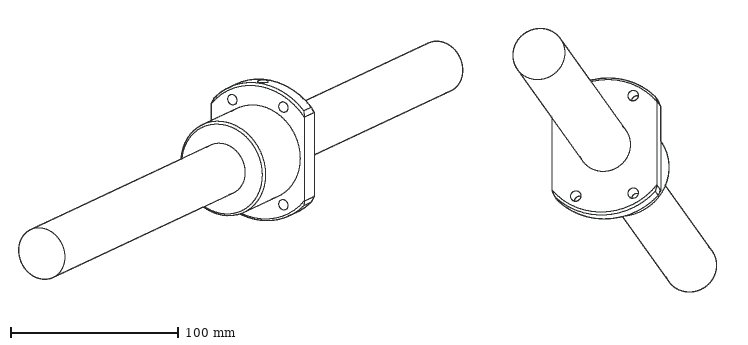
import cadquery as cq
import math

shaft_length = 489.0
shaft_diameter = 32.0

nut_diameter = 58.0
nut_length = 56.0
nut_end_chamfer = 1.5
flange_back_y = 33.3
flange_thickness = 12.0
flange_diameter = 85.0
flange_width = 64.0
flange_chamfer = 1.5
flange_corner_chamfer = 2.0

bolt_circle_diameter = 70.0
bolt_hole_diameter = 6.5
bolt_angles = (60, 120, 240, 300)

oil_port_diameter = 6.5
oil_port_depth = 8.0
oil_passage_diameter = 2.0

flange_front_y = flange_back_y - flange_thickness
flange_middle_y = flange_back_y - flange_thickness / 2
nut_front_y = flange_back_y - nut_length


def cylinder_y(diameter, start_y, end_y):
    """Cylinder around the Y axis between two Y positions."""
    plane = cq.Workplane("XZ", origin=(0, end_y, 0))
    return plane.circle(diameter / 2).extrude(end_y - start_y)


def cylinder_down(diameter, top_z, depth):
    """Vertical cylinder on the flange's mid plane, going down from top_z."""
    plane = cq.Workplane("XY", origin=(0, flange_middle_y, top_z))
    return plane.circle(diameter / 2).extrude(-depth)


def make_shaft():
    return cylinder_y(shaft_diameter, -shaft_length / 2, shaft_length / 2)


def make_flange():
    """Chamfered disc with its two sides cut flat and the corners beside the flats bevelled."""
    disc = cylinder_y(flange_diameter, flange_front_y, flange_back_y)
    disc = disc.faces("<Y or >Y").edges().chamfer(flange_chamfer)
    flats = cq.Workplane("XY", origin=(0, flange_middle_y, 0)).box(
        flange_width, flange_thickness, flange_diameter
    )
    outline = cylinder_y(flange_diameter, flange_front_y, flange_back_y).intersect(flats)
    outline = outline.edges("(|Y) and (<X or >X)").chamfer(flange_corner_chamfer)
    return outline.intersect(disc)


def make_bolt_holes():
    radius = bolt_circle_diameter / 2
    centres = [
        (radius * math.cos(math.radians(angle)), radius * math.sin(math.radians(angle)))
        for angle in bolt_angles
    ]
    plane = cq.Workplane("XZ", origin=(0, flange_back_y, 0))
    return plane.pushPoints(centres).circle(bolt_hole_diameter / 2).extrude(flange_thickness)


def make_oil_port():
    """Wide port from the rim, then a narrow passage into the shaft bore."""
    rim_z = flange_diameter / 2
    port = cylinder_down(oil_port_diameter, rim_z, oil_port_depth)
    passage = cylinder_down(oil_passage_diameter, rim_z, rim_z)
    return port.union(passage)


def make_nut():
    barrel = cylinder_y(nut_diameter, nut_front_y, flange_back_y)
    barrel = barrel.faces("<Y").edges().chamfer(nut_end_chamfer)
    nut = barrel.union(make_flange())
    nut = nut.cut(cylinder_y(shaft_diameter, nut_front_y, flange_back_y))
    return nut.cut(make_bolt_holes()).cut(make_oil_port())


shaft = make_shaft()
nut = make_nut()

result = cq.Compound.makeCompound([shaft.val(), nut.val()])